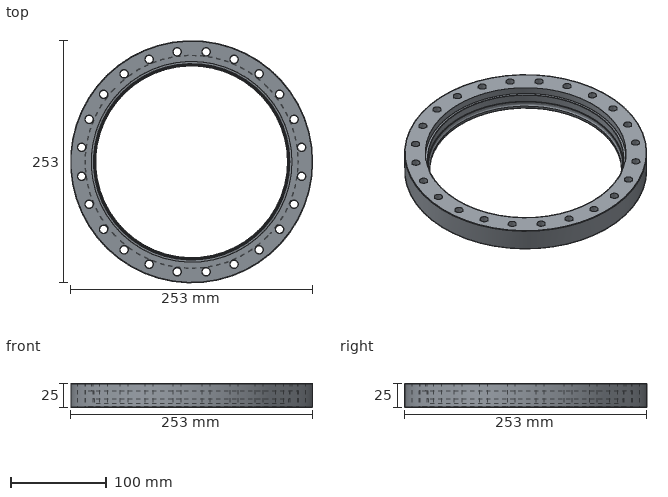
import cadquery as cq
import math

outer_diameter = 253.0
height = 25.0
edge_chamfer = 0.5
opening_diameter = 209.7
seat_diameter = 223.0
seat_depth = 17.2

bolt_count = 24
bolt_circle_diameter = 231.7
bolt_hole_diameter = 8.3
bolt_pitch_angle = 360 / bolt_count

insert_diameter = 222.1
bottom_recess = 1.0
mouth_diameter = 204.7
waist_diameter = 203.0
bore_diameter = 200.5
mouth_chamfer = 0.3
waist_height = 8.5
cove_radius = 2.0
cove_bottom_height = 3.8
cove_width = (waist_diameter - bore_diameter) / 2
cove_height = math.sqrt(cove_radius**2 - (cove_radius - cove_width) ** 2)


def make_outer_ring():
    ring = cq.Workplane("XY").circle(outer_diameter / 2).extrude(height)
    ring = ring.faces("<Z or >Z").edges().chamfer(edge_chamfer)
    opening = cq.Workplane("XY").circle(opening_diameter / 2).extrude(height)
    seat = cq.Workplane("XY").circle(seat_diameter / 2).extrude(seat_depth)
    bolt_holes = (
        cq.Workplane("XY")
        .polarArray(bolt_circle_diameter / 2, bolt_pitch_angle / 2, 360, bolt_count)
        .circle(bolt_hole_diameter / 2)
        .extrude(height)
    )
    return ring.cut(opening).cut(seat).cut(bolt_holes)


def make_insert_ring():
    """Revolve the half section, drawn with radius along X and height along Z."""
    outer_radius = insert_diameter / 2
    mouth_radius = mouth_diameter / 2
    waist_radius = waist_diameter / 2
    bore_radius = bore_diameter / 2
    section = (
        cq.Workplane("XZ")
        .moveTo(outer_radius, bottom_recess)
        .lineTo(outer_radius, seat_depth)
        .lineTo(mouth_radius + mouth_chamfer, seat_depth)
        .lineTo(mouth_radius, seat_depth - mouth_chamfer)
        .lineTo(mouth_radius, waist_height)
        .lineTo(waist_radius, waist_height)
        .lineTo(waist_radius, cove_bottom_height + cove_height)
        .radiusArc((bore_radius, cove_bottom_height), cove_radius)
        .lineTo(bore_radius, bottom_recess)
        .close()
    )
    return section.revolve(360, (0, 0, 0), (0, 1, 0))


outer_ring = make_outer_ring()
insert_ring = make_insert_ring()

result = cq.Compound.makeCompound([outer_ring.val(), insert_ring.val()])